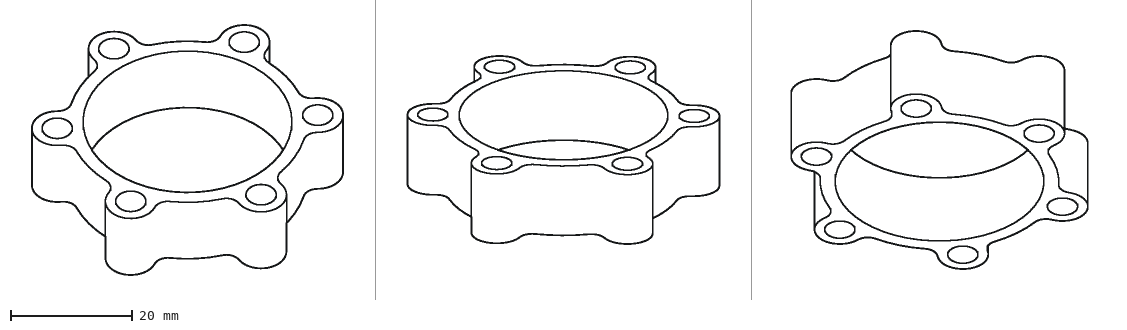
import cadquery as cq
import math

overall_length = 51.55
height = 12.7
bore_diameter = 34.5
ring_outer_diameter = 39.4
lobe_count = 6
lobe_diameter = 8.4
bolt_hole_diameter = 5.0
blend_radius = 2.3

lobe_circle_radius = (overall_length - lobe_diameter) / 2
lobe_angle = 360 / lobe_count


def make_lobe(angle):
    """Straight-sided arm from the ring axis with a round outer end."""
    arm = cq.Workplane("XY").rect(lobe_circle_radius, lobe_diameter).extrude(height)
    arm = arm.translate((lobe_circle_radius / 2, 0, 0))
    tip = (
        cq.Workplane("XY")
        .center(lobe_circle_radius, 0)
        .circle(lobe_diameter / 2)
        .extrude(height)
    )
    return arm.union(tip).rotate((0, 0, 0), (0, 0, 1), angle)


body = cq.Workplane("XY").circle(ring_outer_diameter / 2).extrude(height)
for index in range(lobe_count):
    body = body.union(make_lobe(index * lobe_angle))

selection_margin = 0.05
ring_radius = ring_outer_diameter / 2


def is_on_ring(edge):
    """True for an upright edge lying on the outer surface of the ring."""
    center = edge.Center()
    return abs(math.hypot(center.x, center.y) - ring_radius) < selection_margin


inner_corners = body.edges("|Z").filter(is_on_ring)
body = inner_corners.fillet(blend_radius)

bore = cq.Workplane("XY").circle(bore_diameter / 2).extrude(height)
bolt_holes = (
    cq.Workplane("XY")
    .polarArray(lobe_circle_radius, 0, 360, lobe_count)
    .circle(bolt_hole_diameter / 2)
    .extrude(height)
)
result = body.cut(bore).cut(bolt_holes)